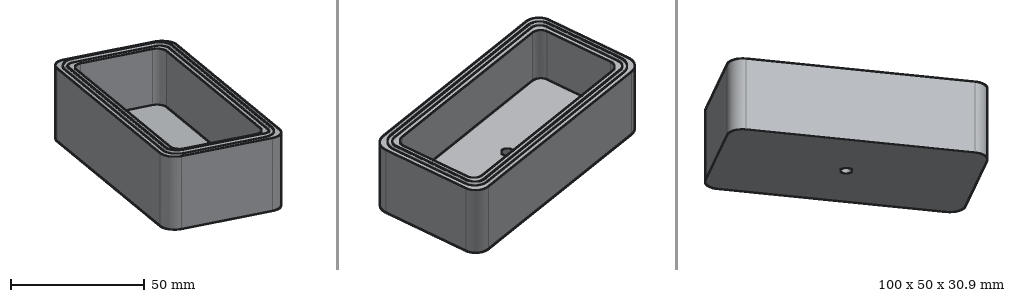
import cadquery as cq

length = 100.0
width = 50.0
body_height = 30.0
outer_corner_radius = 6.0

wall = 6.0
floor_thickness = 7.0
cavity_corner_radius = 4.0
drain_diameter = 4.5

bead_inset = 3.0
bead_radius = 0.9
bead_corner_radius = 5.0


def rounded_block(size_x, size_y, height, corner_radius, base_z=0.0):
    """Upright block centred on Z with rounded vertical edges."""
    return (
        cq.Workplane("XY", origin=(0, 0, base_z))
        .rect(size_x, size_y)
        .extrude(height)
        .edges("|Z")
        .fillet(corner_radius)
    )


def rim_bead():
    """Closed round cord following a rounded rectangle on the rim."""
    center_z = body_height
    half_x = length / 2 - bead_inset
    half_y = width / 2 - bead_inset
    straight_x = half_x - bead_corner_radius
    straight_y = half_y - bead_corner_radius
    path = (
        cq.Workplane("XY", origin=(0, 0, center_z))
        .moveTo(0, -half_y)
        .lineTo(straight_x, -half_y)
        .tangentArcPoint((half_x, -straight_y), relative=False)
        .lineTo(half_x, straight_y)
        .tangentArcPoint((straight_x, half_y), relative=False)
        .lineTo(-straight_x, half_y)
        .tangentArcPoint((-half_x, straight_y), relative=False)
        .lineTo(-half_x, -straight_y)
        .tangentArcPoint((-straight_x, -half_y), relative=False)
        .close()
    )
    return (
        cq.Workplane("YZ", origin=(0, -half_y, center_z))
        .circle(bead_radius)
        .sweep(path)
    )


body = rounded_block(length, width, body_height, outer_corner_radius)
cavity = rounded_block(
    length - 2 * wall,
    width - 2 * wall,
    body_height - floor_thickness,
    cavity_corner_radius,
    base_z=floor_thickness,
)
drain = cq.Workplane("XY").circle(drain_diameter / 2).extrude(floor_thickness)

result = body.union(rim_bead()).cut(cavity).cut(drain)